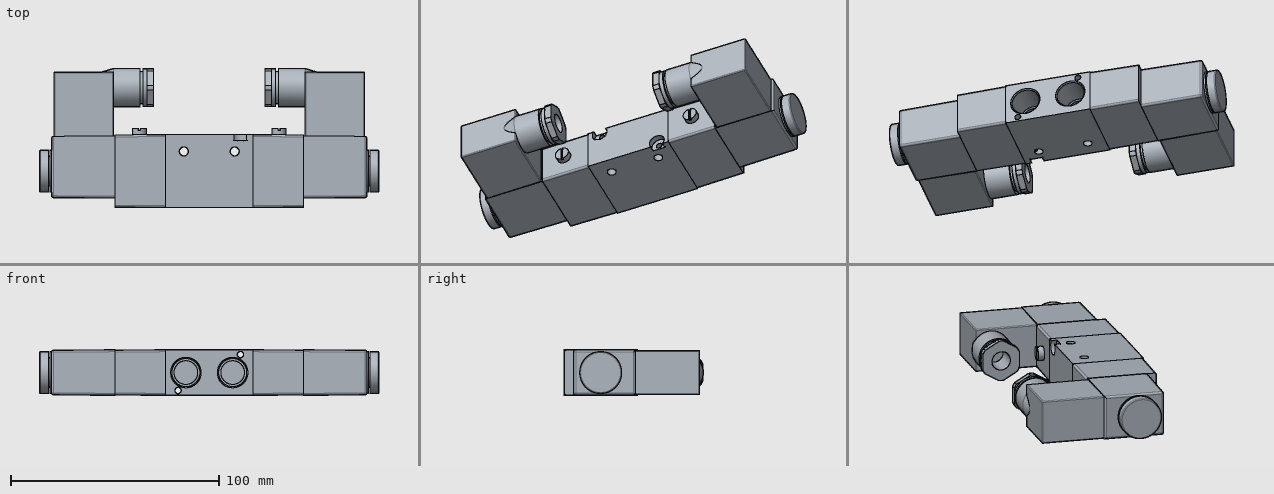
import cadquery as cq
import math


body_length = 42.0
body_width = 35.2
thickness = 22.0
body_end = body_length / 2
mid_y = body_width / 2

port_x = 11.2
port_diameter = 13.5
port_depth = 14.7
port_chamfer = 0.57
port_step_diameter = 11.4
port_step_depth = 17.1

cross_hole_x = 12.2
cross_hole_y = 27.0
cross_hole_diameter = 4.2

mount_hole_x = 15.0
mount_hole_z = 8.6
mount_hole_diameter = 3.0
counterbore_diameter = 7.7
counterbore_depth = 3.0

pilot_length = 24.3
pilot_end = body_end + pilot_length
pilot_draft = 0.45
edge_radius = 1.0

screw_x = 33.5
screw_diameter = 6.8
screw_height = 3.0
screw_slot_width = 1.0
screw_slot_depth = 0.8

coil_length = 30.5
coil_end = pilot_end + coil_length
coil_width = 30.0
coil_back_y = 34.5
coil_mid_y = coil_back_y - coil_width / 2
coil_draft = 0.45

housing_inner_x = 45.9
housing_outer_x = 74.5
housing_back_y = 65.1
housing_thickness = 21.2
housing_edge_radius = 0.5

gland_y = 57.6
gland_radius = 9.3
gland_end_x = 33.2
gland_neck_radius = 7.8
nut_start_x = 31.9
nut_radius = 9.1
hex_start_x = 30.0
hex_across_flats = 2 * nut_radius
hex_sides = 6
hex_corner_radius = 10.0
nut_end_x = 26.7
gland_hole_diameter = 9.1
gland_hole_depth = 13.0
gland_root_length = 8.1
gland_root_radius = 6.8

knob_radius = 10.1
washer_thickness = 0.8
knob_neck_radius = 7.2
knob_neck_length = 0.7
knob_end_x = 81.4
knob_edge_radius = 0.5


def disc(start_x, end_x, radius, y):
    """Cylinder along X between two X positions, centred on the mid-thickness plane."""
    return cq.Workplane("YZ", origin=(start_x, y, 0)).circle(radius).extrude(end_x - start_x)


def tapered_block(start_x, length, width, y, draft):
    """Block along X that narrows slightly on all four sides away from its root."""
    root = cq.Workplane("YZ", origin=(start_x, y, 0)).rect(width, thickness)
    return root.extrude(length, taper=draft)


def y_cylinder(x, y, z, diameter, depth):
    """Cylinder that runs in the +Y direction from y."""
    plane = cq.Workplane("XZ", origin=(x, y, z))
    return plane.circle(diameter / 2).extrude(-depth)


def port_cutter(x):
    """Stepped port bore with a bevelled mouth in the -Y face."""
    bore = y_cylinder(x, 0, 0, port_diameter, port_depth)
    step = y_cylinder(x, 0, 0, port_step_diameter, port_step_depth)
    mouth_plane = cq.Workplane("XZ", origin=(x, 0, 0)).circle(port_diameter / 2 + port_chamfer)
    mouth = mouth_plane.extrude(-port_chamfer, taper=45)
    return bore.union(step).union(mouth)


def make_valve_body():
    body = cq.Workplane("XY").box(body_length, body_width, thickness).translate((0, mid_y, 0))
    for side in (-1, 1):
        body = body.cut(port_cutter(side * port_x))

        cross_hole = cq.Workplane("XY", origin=(side * cross_hole_x, cross_hole_y, -thickness / 2))
        body = body.cut(cross_hole.circle(cross_hole_diameter / 2).extrude(thickness))

        x = side * mount_hole_x
        z = side * mount_hole_z
        body = body.cut(y_cylinder(x, 0, z, mount_hole_diameter, body_width))
        seat_y = body_width - counterbore_depth
        body = body.cut(y_cylinder(x, seat_y, z, counterbore_diameter, counterbore_depth))
    return body


def make_pilot():
    """Pilot block with its manual override screw."""
    block = tapered_block(body_end, pilot_length, body_width, mid_y, pilot_draft)
    block = block.edges("not(|Y or |Z)").fillet(edge_radius)

    screw_top_y = body_width + screw_height
    screw = y_cylinder(screw_x, mid_y, 0, screw_diameter, screw_top_y - mid_y)
    slot = cq.Workplane("XY").box(screw_slot_width, 2 * screw_slot_depth, thickness)
    screw = screw.cut(slot.translate((screw_x, screw_top_y, 0)))
    return block.union(screw)


def make_coil_block():
    """Coil with rounded -Y edges and a rounded outer end."""
    coil = tapered_block(pilot_end, coil_length, coil_width, coil_mid_y, coil_draft)
    coil = coil.faces("<Y").edges("not(|Y or |Z)").fillet(edge_radius)
    return coil.faces(">X").fillet(edge_radius)


def make_housing():
    """Connector housing, sunk into the coil up to the coil's middle."""
    length = housing_outer_x - housing_inner_x
    width = housing_back_y - coil_mid_y
    housing = cq.Workplane("XY").box(length, width, housing_thickness)
    housing = housing.edges("|Y or >Y").fillet(housing_edge_radius)
    return housing.translate((housing_inner_x + length / 2, coil_mid_y + width / 2, 0))


def make_gland():
    """Cable gland: sleeve with a conical root, neck and hexagonal nut, bored from the nut end."""
    gland = disc(gland_end_x, housing_inner_x, gland_radius, gland_y)
    root_plane = cq.Workplane("YZ", origin=(housing_inner_x, gland_y, 0))
    root_end = root_plane.circle(gland_radius).workplane(offset=gland_root_length)
    root = root_end.circle(gland_root_radius).loft()
    gland = gland.union(root)
    gland = gland.union(disc(nut_start_x, gland_end_x, gland_neck_radius, gland_y))
    gland = gland.union(disc(hex_start_x, nut_start_x, nut_radius, gland_y))

    half_side_angle = 180 / hex_sides
    hex_plane = cq.Workplane("YZ", origin=(nut_end_x, gland_y, 0)).transformed(rotate=(0, 0, half_side_angle))
    across_corners = hex_across_flats / math.cos(math.radians(half_side_angle))
    hexagon = hex_plane.polygon(hex_sides, across_corners).extrude(hex_start_x - nut_end_x)
    gland = gland.union(hexagon.intersect(disc(nut_end_x, hex_start_x, hex_corner_radius, gland_y)))

    hole_end_x = nut_end_x + gland_hole_depth
    return gland.cut(disc(nut_end_x, hole_end_x, gland_hole_diameter / 2, gland_y))


def make_knob():
    """Washer, neck and knob on the outer end of the coil."""
    washer_end_x = coil_end + washer_thickness
    neck_end_x = washer_end_x + knob_neck_length
    washer = disc(coil_end, washer_end_x, knob_radius, mid_y)
    neck = disc(washer_end_x, neck_end_x, knob_neck_radius, mid_y)
    knob = disc(neck_end_x, knob_end_x, knob_radius, mid_y).faces(">X").fillet(knob_edge_radius)
    return washer.union(neck).union(knob)


def make_solenoid():
    coil = make_coil_block().union(make_housing())
    return coil.union(make_gland()).union(make_knob())


valve_body = make_valve_body()
pilot = make_pilot()
solenoid = make_solenoid()

end_parts = []
for end_part in (pilot, solenoid):
    end_parts.append(end_part.val())
    end_parts.append(end_part.mirror("YZ").val())

result = cq.Compound.makeCompound([valve_body.val(), *end_parts])